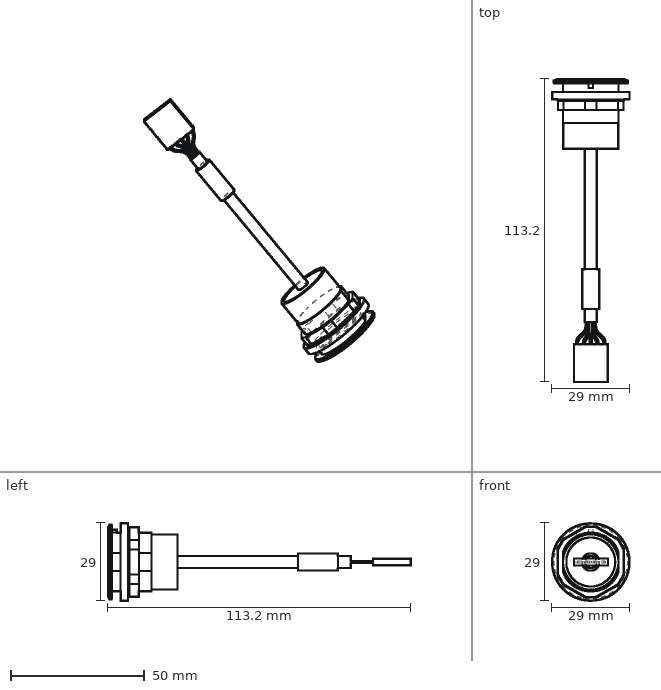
import cadquery as cq
import math


flange_diameter = 27.9
flange_face_diameter = 23.8
flange_rim_diameter = 27.4
flange_dome_depth = 0.55
flange_dome_bulge = 0.11
flange_depth = 1.6
flange_back_chamfer = (flange_diameter - flange_rim_diameter) / 2

body_diameter = 22.0
body_width_across_flats = 20.9
body_end_depth = 16.4

key_width = 1.6
key_top_z = 12.1
key_end_depth = 3.4

washer_diameter = 29.0
washer_start_depth = 4.8
washer_end_depth = 7.6

nut_flat_count = 6
nut_across_flats = 24.6
nut_across_corners = 26.0
nut_foot_flare = 0.2
nut_foot_end_depth = 8.15
nut_end_depth = 11.65

housing_diameter = 20.7
housing_end_depth = 26.1
recess_diameter = 18.32
recess_depth = 0.2

cable_diameter = 4.5
cable_embed = 1.0
cable_end_depth = 90.8
sleeve_diameter = 6.5
sleeve_start_depth = 71.0
sleeve_end_depth = 86.0

total_length = 113.2
plug_length = 14.2
plug_width = 12.7
plug_height = 2.54
plug_start_depth = total_length - plug_length

wire_diameter = 0.8
wire_cable_pitch = 0.82
wire_plug_pitch = 2.6
wire_straight_fractions = {1: 0.45, 2: 0.2}
wire_places = range(-2, 3)
wire_embed = 0.5


def section_plane(depth):
    """Plane across the axis at a depth, with its normal toward -Y and local y along Z."""
    return cq.Workplane("XZ", origin=(0, -depth, 0))


def cylinder(diameter, start_depth, end_depth):
    return section_plane(start_depth).circle(diameter / 2).extrude(end_depth - start_depth)


def make_flange():
    face_radius = flange_face_diameter / 2
    rim_radius = flange_rim_diameter / 2
    outer_radius = flange_diameter / 2
    return (
        cq.Workplane("XY")
        .lineTo(face_radius, 0)
        .sagittaArc((rim_radius, -flange_dome_depth), flange_dome_bulge)
        .lineTo(outer_radius, -flange_dome_depth)
        .lineTo(outer_radius, -flange_depth + flange_back_chamfer)
        .lineTo(rim_radius, -flange_depth)
        .lineTo(0, -flange_depth)
        .close()
        .revolve(360, (0, 0, 0), (0, 1, 0))
    )


def make_body():
    flats = section_plane(0).rect(body_width_across_flats, body_diameter).extrude(body_end_depth)
    return cylinder(body_diameter, 0, body_end_depth).intersect(flats)


def make_key():
    return (
        section_plane(0)
        .center(0, key_top_z / 2)
        .rect(key_width, key_top_z)
        .extrude(key_end_depth)
    )


def nut_outline(growth):
    """Corners of the twelve-sided nut outline, with every side moved outward by growth."""
    flat = nut_across_flats / 2 + growth
    cut = nut_across_corners / 2 + growth
    cut_angle = math.pi / nut_flat_count
    corner_along_flat = (cut - flat * math.cos(cut_angle)) / math.sin(cut_angle)
    radius = math.hypot(flat, corner_along_flat)
    offset_angle = math.atan2(corner_along_flat, flat)
    corners = []
    for side in range(nut_flat_count):
        flat_angle = side * 2 * math.pi / nut_flat_count
        for angle in (flat_angle - offset_angle, flat_angle + offset_angle):
            corners.append((radius * math.cos(angle), radius * math.sin(angle)))
    return corners


def make_nut():
    foot_height = nut_foot_end_depth - washer_end_depth
    foot = (
        section_plane(washer_end_depth)
        .polyline(nut_outline(nut_foot_flare)).close()
        .workplane(offset=foot_height)
        .polyline(nut_outline(0)).close()
        .loft(ruled=True)
    )
    upper = (
        section_plane(nut_foot_end_depth)
        .polyline(nut_outline(0)).close()
        .extrude(nut_end_depth - nut_foot_end_depth)
    )
    return foot.union(upper)


def make_housing():
    recess = cylinder(recess_diameter, housing_end_depth - recess_depth, housing_end_depth)
    return cylinder(housing_diameter, 0, housing_end_depth).cut(recess)


def make_plug():
    return section_plane(plug_start_depth).rect(plug_width, plug_height).extrude(plug_length)


def make_wire(place):
    """One wire, counted from the centre wire; negative places lie toward -X."""
    cable_x = place * wire_cable_pitch
    plug_x = place * wire_plug_pitch
    start_y = -cable_end_depth + wire_embed
    plug_y = -plug_start_depth
    end_y = plug_y - wire_embed
    path = cq.Workplane("XY").moveTo(cable_x, start_y)
    if place == 0:
        path = path.lineTo(plug_x, end_y)
    else:
        fan_length = plug_start_depth - cable_end_depth
        bend_y = -cable_end_depth - fan_length * wire_straight_fractions[abs(place)]
        path = (
            path.lineTo(cable_x, bend_y)
            .spline([(cable_x, bend_y), (plug_x, plug_y)], tangents=[(0, -1), (0, -1)])
            .lineTo(plug_x, end_y)
        )
    profile = cq.Workplane("XZ", origin=(cable_x, start_y, 0)).circle(wire_diameter / 2)
    return profile.sweep(path)


result = make_flange()
result = result.union(make_body())
result = result.union(make_key())
result = result.union(cylinder(washer_diameter, washer_start_depth, washer_end_depth))
result = result.union(make_nut())
result = result.union(make_housing())
result = result.union(cylinder(cable_diameter, housing_end_depth - cable_embed, cable_end_depth))
result = result.union(cylinder(sleeve_diameter, sleeve_start_depth, sleeve_end_depth))
result = result.union(make_plug())
for wire_place in wire_places:
    result = result.union(make_wire(wire_place))